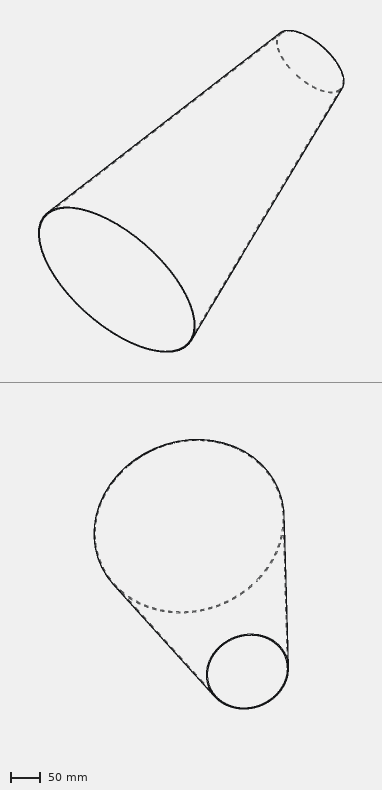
import cadquery as cq

length = 553.0
wide_diameter = 324.0
narrow_diameter = 140.0
wall = 2.05

wide_radius = wide_diameter / 2
narrow_radius = narrow_diameter / 2

wall_section = (
    cq.Workplane("YZ")
    .moveTo(0, wide_radius - wall)
    .lineTo(0, wide_radius)
    .lineTo(length, narrow_radius)
    .lineTo(length, narrow_radius - wall)
    .close()
)

axis_start = (0, 0, 0)
axis_end = (1, 0, 0)
result = wall_section.revolve(360, axis_start, axis_end)